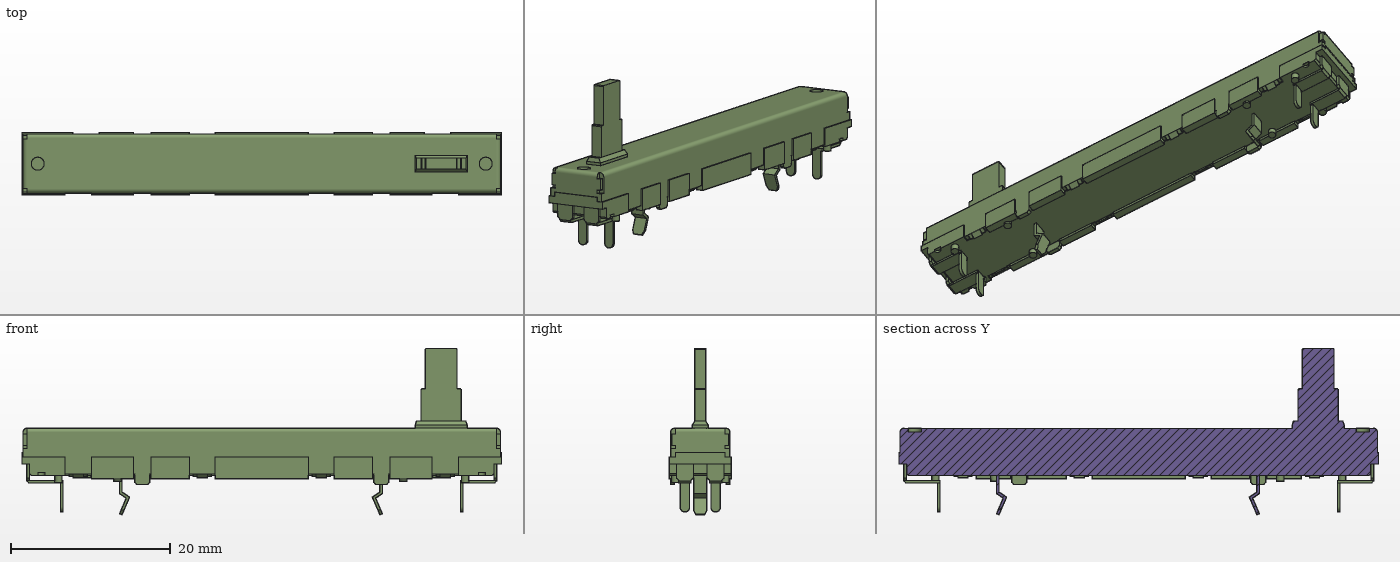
import cadquery as cq
import math


length = 60.0
width = 7.8

end_lip = 0.1
cover_length = length - 2 * end_lip
cover_width = 7.45
cover_edge_radius = 0.55
cover_hole_x = 28.0
cover_hole_diameter = 1.6
cover_hole_depth = 0.5
lip_top_z = -3.05
lip_width = 6.25
corner_gap_length = 0.55
corner_gap_depth = 0.2
corner_gap_bottom_z = -2.6
corner_relief_width = 6.2
corner_relief_top_z = -2.15
corner_notch_bottom_z = -0.7

skirt_top_z = -3.6
end_bottom_z = -4.5
base_bottom_z = -5.95
base_length = 58.1
base_chamfer = 0.25
pad_bottom_z = -6.35
pad_depth = 0.9

end_pad_start = {-1: 24.6, 1: 23.65}
outer_pad = {-1: (16.0, 21.3), 1: (16.0, 20.35)}
inner_pad = (9.05, 13.85)
centre_pad_half = 5.8

wall_bottom_z = -5.75
crimp_shoulder_z = -6.05
crimp_width = 2.3
crimp_nose_width = 1.25
crimp_nose_z = -6.25
crimp_depth = 0.6
mount_tab_width = 1.9
mount_tab_thickness = 0.5
mount_tab_bottom_z = -7.1
mount_tab_chamfer = 0.3

notch_x = 27.55
notch_radius = 0.4
notch_height = 0.35
end_boss_x = 25.45
end_boss_y = 3.1
boss_radius = 0.5
end_boss_bottom_z = -6.85
middle_boss_xs = [-18.05, 17.7]
middle_boss_y = 2.9
middle_boss_bottom_z = -6.65

sheet = 0.35
terminal_y = 1.9
terminal_outer_x = 29.4
terminal_plate_width = 2.15
terminal_plate_bottom_z = -6.25
terminal_strip_width = 1.55
terminal_strip_bottom_z = -6.9
bend_chamfer = 0.3
pin_outer_x = 25.2
pin_width = 1.2
pin_bottom_z = -10.5

leg_width = 1.7
leg_kick_z = -8.1
leg_knee_z = -8.7
leg_tip_z = -10.85
leg_kick = 0.9
leg_tip_chamfer = 0.3
legs = [(-17.65, 1), (14.95, -1)]

lever_x = 22.45
lever_thickness = 1.4
lever_top_z = 9.95
lever_step_z = 4.9
lever_lower_width = 5.05
lever_upper_width = 4.0
lever_edge_chamfer = 0.1
collar_length = 6.55
collar_width = 2.05
collar_top_length = 6.2
collar_base_z = 0.35
collar_top_z = 0.9

overlap = 0.3


def block(x0, x1, y0, y1, z0, z1):
    """Axis-aligned box between two corners, given in any order."""
    size = (abs(x1 - x0), abs(y1 - y0), abs(z1 - z0))
    return cq.Workplane("XY").box(*size).translate(((x0 + x1) / 2, (y0 + y1) / 2, (z0 + z1) / 2))


def centred_block(size_x, size_y, z0, z1):
    return block(-size_x / 2, size_x / 2, -size_y / 2, size_y / 2, z0, z1)


def post(x, y, radius, z0, z1):
    return cq.Workplane("XY", origin=(x, y, z0)).circle(radius).extrude(z1 - z0)


def make_cover():
    cover = centred_block(cover_length, cover_width, end_bottom_z, 0)
    cover = cover.faces(">Z").edges().fillet(cover_edge_radius)
    cover = cover.union(centred_block(length, lip_width, end_bottom_z, lip_top_z))
    for end in (-1, 1):
        x = end * cover_hole_x
        cover = cover.cut(post(x, 0, cover_hole_diameter / 2, -cover_hole_depth, 0))
        for side in (-1, 1):
            gap_inner_x = end * (cover_length / 2 - corner_gap_length)
            gap_inner_y = side * (cover_width / 2 - corner_gap_depth)
            relief_inner_y = side * corner_relief_width / 2
            outer_x = end * length / 2
            outer_y = side * width / 2
            cover = cover.cut(block(outer_x, gap_inner_x, outer_y, gap_inner_y, corner_gap_bottom_z, 0))
            cover = cover.cut(block(outer_x, gap_inner_x, outer_y, relief_inner_y,
                                    corner_gap_bottom_z, corner_relief_top_z))
            cover = cover.cut(block(outer_x, gap_inner_x, outer_y, relief_inner_y,
                                    corner_notch_bottom_z, 0))
    return cover


def make_base():
    """Lower body, narrower than the cover ends and chamfered under both ends."""
    base = centred_block(base_length, cover_width, wall_bottom_z, skirt_top_z)
    base = base.union(centred_block(base_length, cover_width - 2 * crimp_depth,
                                    base_bottom_z, skirt_top_z))
    for side in (-1, 1):
        inner_y = side * (width / 2 - pad_depth)
        outer_y = side * width / 2
        base = base.union(block(-centre_pad_half, centre_pad_half, inner_y, outer_y,
                                pad_bottom_z, skirt_top_z))
        for end in (-1, 1):
            for start, stop in (inner_pad, outer_pad[side]):
                base = base.union(block(end * start, end * stop, inner_y, outer_y,
                                        pad_bottom_z, skirt_top_z))
            start = end * end_pad_start[side]
            base = base.union(block(start, end * base_length / 2, inner_y, outer_y,
                                    base_bottom_z, skirt_top_z))
            base = base.union(block(start, end * length / 2, inner_y, outer_y,
                                    end_bottom_z, skirt_top_z))
    base = base.union(centred_block(length, width - pad_depth, end_bottom_z, skirt_top_z))
    for end in (-1, 1):
        chamfer_cut = (
            cq.Workplane("XZ")
            .moveTo(end * base_length / 2, base_bottom_z)
            .lineTo(end * (base_length / 2 - base_chamfer), base_bottom_z)
            .lineTo(end * base_length / 2, base_bottom_z + base_chamfer)
            .close()
            .extrude(width / 2, both=True))
        base = base.cut(chamfer_cut)
        for side in (-1, 1):
            base = base.cut(post(end * notch_x, side * width / 2, notch_radius,
                                 base_bottom_z, base_bottom_z + notch_height))
    return base


def make_crimp(x, side):
    """Cover tongue folded inward under the base: wide sloping shoulders and a narrower nose."""
    wall_y = side * cover_width / 2
    nose_y = wall_y - side * crimp_depth

    def wedge(wedge_width, low_z):
        return (
            cq.Workplane("YZ")
            .polyline([(wall_y, wall_bottom_z), (nose_y, low_z), (nose_y, wall_bottom_z)])
            .close()
            .extrude(wedge_width / 2, both=True))

    crimp = wedge(crimp_width, crimp_shoulder_z).union(wedge(crimp_nose_width, crimp_nose_z))
    return crimp.translate((x, 0, 0))


def make_mount_tab(x, side):
    half = mount_tab_width / 2
    outer_y = side * cover_width / 2
    tab = block(x - half, x + half, outer_y, outer_y - side * mount_tab_thickness,
                mount_tab_bottom_z, skirt_top_z)
    return tab.faces("<Z").edges("|Y").chamfer(mount_tab_chamfer)


def make_terminal(end, side):
    """End plate folded under the base into a strip that ends in a round-tipped pin."""
    y = side * terminal_y
    inner_x = end * (terminal_outer_x - sheet)
    plate_half = terminal_plate_width / 2
    strip_half = terminal_strip_width / 2
    strip_top_z = terminal_strip_bottom_z + sheet
    pin_inner_x = end * (pin_outer_x - sheet)

    terminal = block(end * terminal_outer_x, inner_x - end * overlap, y - plate_half, y + plate_half,
                     base_bottom_z + base_chamfer, end_bottom_z)
    terminal = terminal.union(block(end * terminal_outer_x, inner_x, y - plate_half, y + plate_half,
                                    terminal_plate_bottom_z, end_bottom_z))
    plate_foot = (
        cq.Workplane("YZ")
        .moveTo(y - plate_half, terminal_plate_bottom_z)
        .lineTo(y + plate_half, terminal_plate_bottom_z)
        .lineTo(y + strip_half, strip_top_z)
        .lineTo(y + strip_half, terminal_strip_bottom_z)
        .lineTo(y - strip_half, terminal_strip_bottom_z)
        .lineTo(y - strip_half, strip_top_z)
        .close()
        .extrude(end * sheet)
        .translate((inner_x, 0, 0)))
    strip = block(end * terminal_outer_x, pin_inner_x, y - strip_half, y + strip_half,
                  terminal_strip_bottom_z, strip_top_z)
    pin_half = pin_width / 2
    pin = (
        cq.Workplane("YZ")
        .moveTo(y - pin_half, strip_top_z)
        .lineTo(y - pin_half, pin_bottom_z + pin_half)
        .threePointArc((y, pin_bottom_z), (y + pin_half, pin_bottom_z + pin_half))
        .lineTo(y + pin_half, strip_top_z)
        .close()
        .extrude(end * sheet)
        .translate((pin_inner_x, 0, 0)))
    bend = (
        cq.Workplane("XZ")
        .polyline([(end * terminal_outer_x, terminal_strip_bottom_z),
                   (end * (terminal_outer_x - bend_chamfer), terminal_strip_bottom_z),
                   (end * terminal_outer_x, terminal_strip_bottom_z + bend_chamfer)])
        .close()
        .extrude(width / 2, both=True))
    return terminal.union(plate_foot).union(strip).union(pin).cut(bend)


def sheet_outline(path, thickness):
    """Closed outline of a bent strip with mitred bends, given its centre line."""
    directions = []
    for (x0, z0), (x1, z1) in zip(path, path[1:]):
        directions.append(math.atan2(z1 - z0, x1 - x0))
    one_side = []
    other_side = []
    for (x, z), before, after in zip(path, directions[:1] + directions, directions + directions[-1:]):
        normal = (before + after + math.pi) / 2
        reach = thickness / 2 / math.cos((after - before) / 2)
        dx = reach * math.cos(normal)
        dz = reach * math.sin(normal)
        one_side.append((x + dx, z + dz))
        other_side.append((x - dx, z - dz))
    return one_side + other_side[::-1]


def make_leg(x, kick_direction):
    """Snap-in leg with clipped tip corners; the square-cut end of the strip is its lowest point."""
    tip_slope = math.atan2(leg_kick, leg_knee_z - leg_tip_z)
    tip_centre_z = leg_tip_z + sheet / 2 * math.sin(tip_slope)
    path = [(0, base_bottom_z + overlap), (0, leg_kick_z), (leg_kick, leg_knee_z), (0, tip_centre_z)]
    outline = sheet_outline(path, sheet)
    leg = cq.Workplane("XZ").polyline(outline).close().extrude(leg_width / 2, both=True)
    corner = leg_width / 2 - leg_tip_chamfer
    for side in (-1, 1):
        clip = (
            cq.Workplane("YZ")
            .polyline([(side * leg_width / 2, leg_tip_z - overlap),
                       (side * corner, leg_tip_z - overlap),
                       (side * corner, leg_tip_z),
                       (side * leg_width / 2, leg_tip_z + 2 * leg_tip_chamfer)])
            .close()
            .extrude(leg_kick + sheet, both=True))
        leg = leg.cut(clip)
    if kick_direction < 0:
        leg = leg.mirror("YZ")
    return leg.translate((x, 0, 0))


def make_lever():
    collar = cq.Workplane("XY").rect(collar_length, collar_width).extrude(collar_base_z)
    collar = collar.union(
        cq.Workplane("XY", origin=(0, 0, collar_base_z)).rect(collar_length, collar_width)
        .workplane(offset=collar_top_z - collar_base_z).rect(collar_top_length, lever_thickness).loft())
    lower = centred_block(lever_lower_width, lever_thickness, -overlap, lever_step_z)
    upper = centred_block(lever_upper_width, lever_thickness, 0, lever_top_z)
    lower = lower.faces(">Z").edges("|Y").chamfer(lever_edge_chamfer)
    upper = upper.faces(">Z").edges("|Y").chamfer(lever_edge_chamfer)
    return collar.union(lower).union(upper).translate((lever_x, 0, 0))


result = make_cover().union(make_base()).union(make_lever())

for side in (-1, 1):
    crimp_xs = [
        (centre_pad_half + inner_pad[0]) / 2,
        (outer_pad[side][1] + end_pad_start[side]) / 2,
    ]
    mount_tab_x = (inner_pad[1] + outer_pad[side][0]) / 2
    for end in (-1, 1):
        for crimp_x in crimp_xs:
            result = result.union(make_crimp(end * crimp_x, side))
        result = result.union(make_mount_tab(end * mount_tab_x, side))
        result = result.union(make_terminal(end, side))
        result = result.union(post(end * end_boss_x, side * end_boss_y, boss_radius,
                                   end_boss_bottom_z, skirt_top_z))
    for boss_x in middle_boss_xs:
        result = result.union(post(boss_x, side * middle_boss_y, boss_radius,
                                   middle_boss_bottom_z, skirt_top_z))

for leg_x, kick_direction in legs:
    result = result.union(make_leg(leg_x, kick_direction))